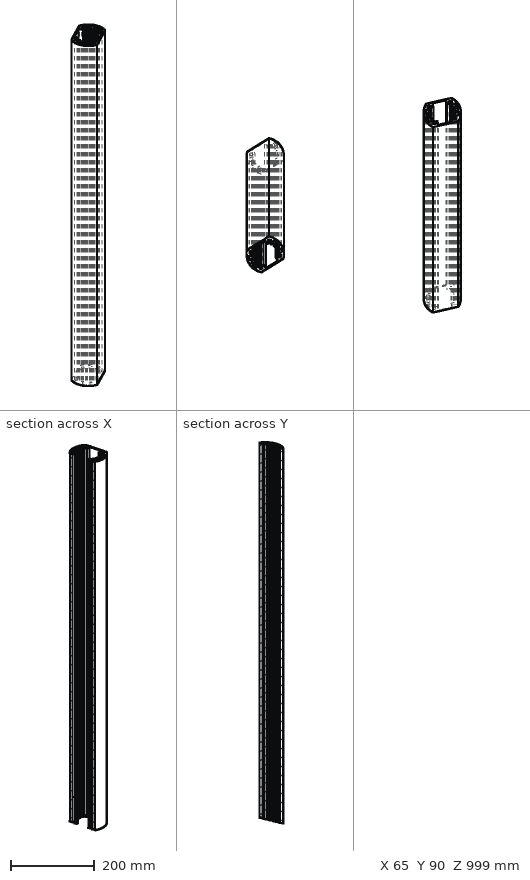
import cadquery as cq

length = 999.0
width = 65.0
depth = 90.0
side_wall = 3.0
crown_wall = 5.0

boss_inner_x = 19.0
boss_inner_y = 17.0
boss_groove_x = 16.0
lip_tip_x = 13.0
lip_bottom_y = 25.0
lip_top_y = 29.0
corner_hole_x = 22.0
corner_hole_y = 26.0
corner_hole_diameter = 7.0

port_width = 16.0
port_tip_y = 29.0
port_channel_y = 35.0
port_channel_diameter = 8.0
port_mouth_width = 6.0


def flat_sided_bar(radius, bar_width):
    """Full-length cylinder trimmed to two flats facing X."""
    cylinder = cq.Workplane("XY").circle(radius).extrude(length)
    slab = cq.Workplane("XY").rect(bar_width, 2 * radius).extrude(length)
    return cylinder.intersect(slab)


def block(x_min, x_max, y_min, y_max):
    """Full-length rectangular bar between the given limits."""
    return (
        cq.Workplane("XY")
        .center((x_min + x_max) / 2, (y_min + y_max) / 2)
        .rect(x_max - x_min, y_max - y_min)
        .extrude(length)
    )


def round_bore(x, y, diameter):
    """Full-length round cutter."""
    return cq.Workplane("XY").center(x, y).circle(diameter / 2).extrude(length)


def corner_boss():
    """Stepped boss filling the corner at +X +Y, beyond the tube wall."""
    outer_x = width / 2
    outer_y = depth / 2
    return (
        cq.Workplane("XY")
        .moveTo(outer_x, boss_inner_y)
        .lineTo(boss_inner_x, boss_inner_y)
        .lineTo(boss_inner_x, lip_bottom_y)
        .lineTo(lip_tip_x, lip_bottom_y)
        .lineTo(lip_tip_x, lip_top_y)
        .lineTo(boss_groove_x, lip_top_y)
        .lineTo(boss_groove_x, outer_y)
        .lineTo(outer_x, outer_y)
        .close()
        .extrude(length)
    )


def on_both_sides(body, mirror_plane):
    """Body together with its mirror image through the origin plane."""
    return body.union(body.mirror(mirror_plane))


envelope = flat_sided_bar(depth / 2, width)
cavity = flat_sided_bar(depth / 2 - crown_wall, width - 2 * side_wall)

bosses = on_both_sides(corner_boss(), "YZ")
port = block(-port_width / 2, port_width / 2, port_tip_y, depth / 2)
inner_material = on_both_sides(bosses.union(port), "XZ").intersect(envelope)

corner_holes = on_both_sides(round_bore(corner_hole_x, corner_hole_y, corner_hole_diameter), "YZ")
channel = round_bore(0, port_channel_y, port_channel_diameter)
mouth = block(-port_mouth_width / 2, port_mouth_width / 2, port_tip_y, port_channel_y)
openings = on_both_sides(corner_holes.union(channel).union(mouth), "XZ")

result = envelope.cut(cavity).union(inner_material).cut(openings)